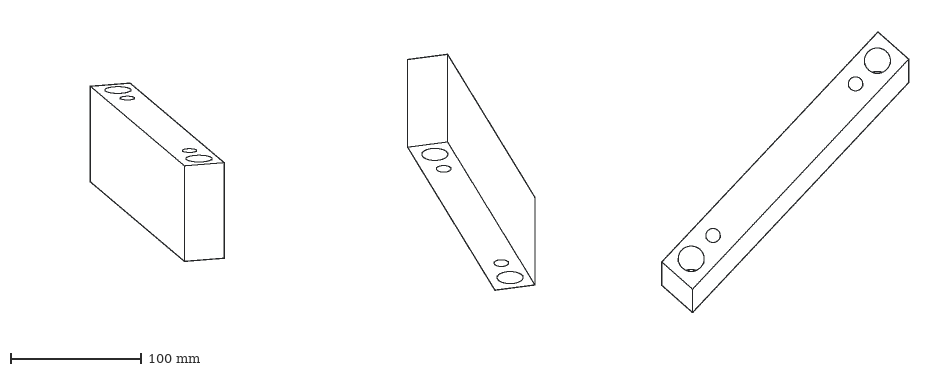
import cadquery as cq

length = 246.0
width = 32.0
height = 76.0

large_diameter = 20.0
large_spacing = 211.8
small_diameter = 11.0
small_spacing = 162.0
hole_row_offset = 1.0


def drill_pair(body, spacing, diameter):
    """Drill two holes through the full height, mirrored about X = 0."""
    centers = [(side * spacing / 2, hole_row_offset) for side in (-1, 1)]
    return body.faces(">Z").workplane(origin=(0, 0, 0)).pushPoints(centers).hole(diameter)


block = cq.Workplane("XY").box(length, width, height)
block = drill_pair(block, large_spacing, large_diameter)
result = drill_pair(block, small_spacing, small_diameter)